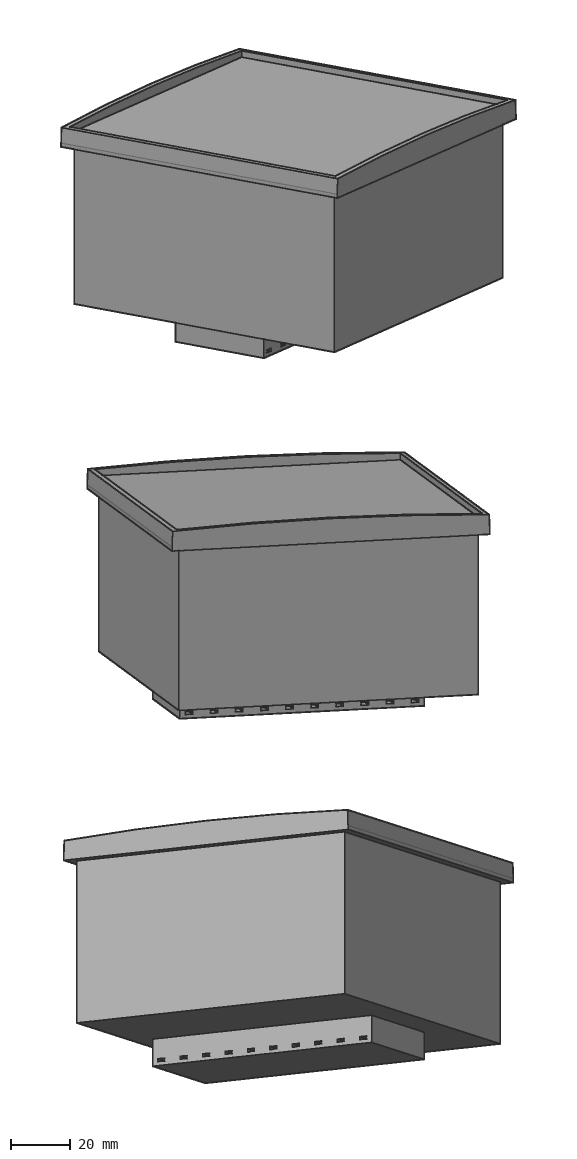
import cadquery as cq

SIDE = 110.0
HEIGHT = 73.4
BEZEL_BOTTOM = 65.1
STRIP_HEIGHT = 1.4
EDGE_HEIGHT = 6.7
DRAFT_INSET = 0.2
WINDOW = 105.7
WINDOW_DEPTH = 3.6

HOUSING_SIDE = 103.6
HOUSING_BOTTOM = 10.0

BLOCK_WIDTH = 35.2
BLOCK_LENGTH = 84.7
BLOCK_HEIGHT = 9.2
SLOT_COUNT = 10
SLOT_PITCH = 8.7
SLOT_LENGTH = 2.5
SLOT_HEIGHT = 1.0
SLOT_CENTER_Z = 1.9


def square_block(side, bottom, height):
    """Centred square block standing on the given level."""
    return cq.Workplane("XY").workplane(offset=bottom).rect(side, side).extrude(height)


def make_bezel():
    """Frame with drafted front and back, a crowned top and a window recess."""
    half = SIDE / 2
    half_top = half - DRAFT_INSET
    strip_top = BEZEL_BOTTOM + STRIP_HEIGHT
    edge_top = BEZEL_BOTTOM + EDGE_HEIGHT
    body = (
        cq.Workplane("YZ")
        .moveTo(-half, BEZEL_BOTTOM)
        .lineTo(half, BEZEL_BOTTOM)
        .lineTo(half, strip_top)
        .lineTo(half_top, edge_top)
        .threePointArc((0, HEIGHT), (-half_top, edge_top))
        .lineTo(-half, strip_top)
        .close()
        .extrude(half, both=True)
    )
    return body.cut(square_block(WINDOW, HEIGHT - WINDOW_DEPTH, WINDOW_DEPTH))


def make_housing():
    """Plain square housing that meets the underside of the bezel."""
    return square_block(HOUSING_SIDE, HOUSING_BOTTOM, BEZEL_BOTTOM - HOUSING_BOTTOM)


def make_terminal_block():
    """Block below the housing with a row of slots running through along X."""
    block = cq.Workplane("XY").box(BLOCK_WIDTH, BLOCK_LENGTH, BLOCK_HEIGHT, centered=(True, True, False))
    slots = (
        cq.Workplane("YZ")
        .center(0, SLOT_CENTER_Z)
        .rarray(SLOT_PITCH, 1.1, SLOT_COUNT, 1)
        .rect(SLOT_LENGTH, SLOT_HEIGHT)
        .extrude(BLOCK_WIDTH / 2, both=True)
    )
    return block.cut(slots)


bezel = make_bezel()
housing = make_housing()
terminal_block = make_terminal_block()

result = cq.Compound.makeCompound([bezel.val(), housing.val(), terminal_block.val()])